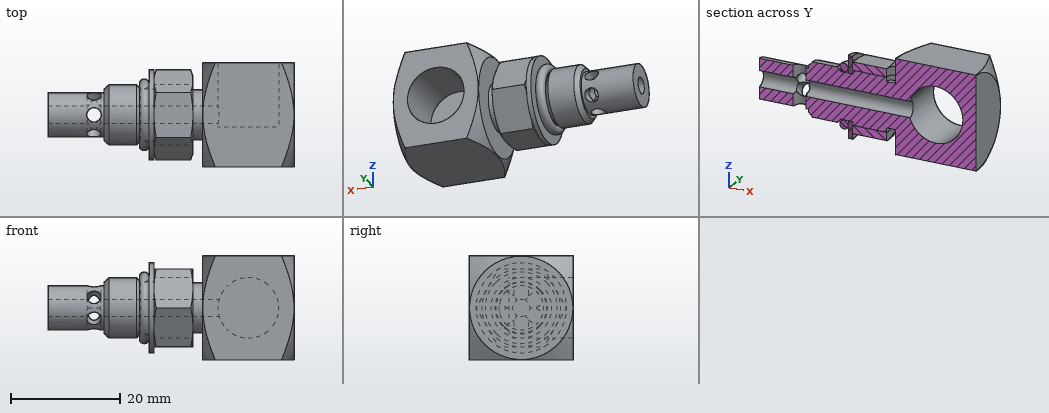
import cadquery as cq
import math


total_length = 44.95
block_side = 19.05
block_start = 28.2

block_face_dia = 18.9
block_chamfer_angle = 30.0

nose_dia = 8.15
bore_dia = 3.15
port_dia = 2.6
port_axis_count = 3
port_x = 8.35

outlet_dia = 11.1
outlet_past_axis = 2.25

stem_start = 10.15
thread_dia = 11.05
neck_dia = 9.25
thread_crest_end = 16.15

ring_inner_dia = 9.55
ring_section_dia = 1.8

washer_start = 18.45
washer_thickness = 0.9
washer_dia = 16.5

nut_end = 26.45
nut_corner_dia = 16.5
nut_chamfer_angle = 20.0

envelope_margin = 0.45

nut_start = washer_start + washer_thickness
nut_length = nut_end - nut_start
nut_flats = nut_corner_dia * math.cos(math.pi / 6)
block_length = total_length - block_start
lead_chamfer = (thread_dia - neck_dia) / 2
relief_chamfer = (thread_dia - ring_inner_dia) / 2
outlet_x = (block_start + total_length) / 2
outlet_depth = block_side / 2 + outlet_past_axis


def rod(diameter, start, end):
    """Round rod along X from start to end."""
    return cq.Workplane("YZ").workplane(offset=start).circle(diameter / 2).extrude(end - start)


def double_cone(face_dia, corner_dia, angle, start, end):
    """Round envelope whose ends taper to face_dia; it bevels the corners of a prism."""
    outer_radius = corner_dia / 2 + envelope_margin
    bevel = (outer_radius - face_dia / 2) * math.tan(math.radians(angle))
    profile = [
        (start, 0),
        (start, face_dia / 2),
        (start + bevel, outer_radius),
        (end - bevel, outer_radius),
        (end, face_dia / 2),
        (end, 0),
    ]
    return cq.Workplane("XY").polyline(profile).close().revolve(360, (0, 0, 0), (1, 0, 0))


def make_block():
    """Square block with conically bevelled ends."""
    prism = (
        cq.Workplane("YZ").workplane(offset=block_start)
        .rect(block_side, block_side).extrude(block_length)
    )
    corner_dia = block_side * math.sqrt(2)
    return prism.intersect(
        double_cone(block_face_dia, corner_dia, block_chamfer_angle, block_start, total_length)
    )


def make_stem():
    """Stem: front thread, O-ring groove, rear thread inside the nut, and plain neck."""
    front_thread = (
        rod(thread_dia, stem_start, thread_crest_end + relief_chamfer)
        .faces("<X").chamfer(lead_chamfer)
        .faces(">X").chamfer(relief_chamfer)
    )
    groove = rod(ring_inner_dia, thread_crest_end, nut_start)
    rear_thread = rod(thread_dia, nut_start, nut_end)
    neck = rod(neck_dia, nut_end, block_start)
    return front_thread.union(groove).union(rear_thread).union(neck)


def cut_flow_passages(body):
    """Axial bore from the nose tip, a ring of radial ports, and the blind side outlet."""
    body = body.cut(rod(bore_dia, 0, outlet_x))
    for i in range(port_axis_count):
        port = (
            cq.Workplane("XY").center(port_x, 0).circle(port_dia / 2)
            .extrude(nose_dia, both=True)
            .rotate((0, 0, 0), (1, 0, 0), i * 180 / port_axis_count)
        )
        body = body.cut(port)
    outlet = (
        cq.Workplane("XZ").workplane(offset=-block_side / 2).center(outlet_x, 0)
        .circle(outlet_dia / 2).extrude(outlet_depth)
    )
    return body.cut(outlet)


def make_fuse_body():
    """Nose, stem and block in one piece."""
    nose = rod(nose_dia, 0, stem_start)
    return cut_flow_passages(nose.union(make_stem()).union(make_block()))


def make_o_ring():
    """O-ring in the stem groove, touching the washer."""
    center_x = washer_start - ring_section_dia / 2
    center_radius = (ring_inner_dia + ring_section_dia) / 2
    return (
        cq.Workplane("XY").center(center_x, center_radius).circle(ring_section_dia / 2)
        .revolve(360, (0, -center_radius, 0), (1, -center_radius, 0))
    )


def make_washer():
    """Flat washer over the stem groove."""
    return rod(washer_dia, washer_start, nut_start).cut(rod(ring_inner_dia, washer_start, nut_start))


def make_jam_nut():
    """Hexagon nut with corners toward +Y and -Y, bevelled at both ends."""
    hexagon = cq.Workplane("YZ").workplane(offset=nut_start).polygon(6, nut_corner_dia).extrude(nut_length)
    bevelled = hexagon.intersect(
        double_cone(nut_flats, nut_corner_dia, nut_chamfer_angle, nut_start, nut_end)
    )
    return bevelled.cut(rod(thread_dia, nut_start, nut_end))


fuse_body = make_fuse_body()
o_ring = make_o_ring()
washer = make_washer()
jam_nut = make_jam_nut()

result = cq.Compound.makeCompound([fuse_body.val(), o_ring.val(), washer.val(), jam_nut.val()])